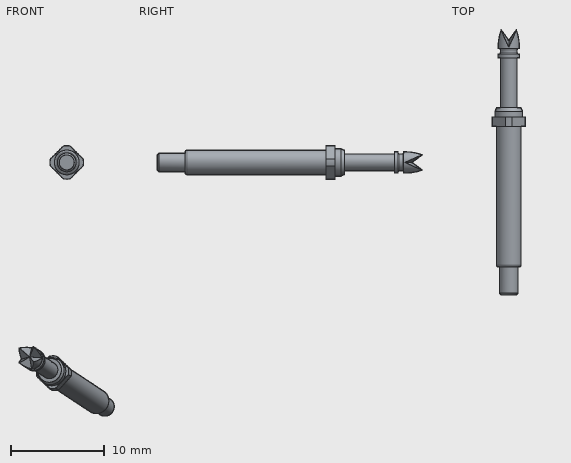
import cadquery as cq
import math


pin_radius = 1.0
pin_length = 3.0
pin_chamfer = 0.2

tube_radius = 1.32
tube_length = 15.0
tube_fillet = 0.2

flange_corner_radius = 1.795
flange_across_flats = 3.0
flange_thickness = 1.0

collar_radius = 1.475
collar_length = 1.0
collar_nose_length = 0.4
collar_nose_radius = 1.3

plunger_radius = 0.9
ring_radius = 1.15
ring_thickness = 0.4
neck_length = 0.6
neck_fillet = 0.15
head_radius = ring_radius
total_length = 28.3
head_length = 2.0

crown_centre_depth = 1.1
crown_edge_depth = 1.85
tooth_count = 4

tube_start = pin_length
flange_start = tube_start + tube_length
collar_start = flange_start + flange_thickness
collar_end = collar_start + collar_length
head_start = total_length - head_length
ring_end = head_start - neck_length
ring_start = ring_end - ring_thickness


def rod(start, end, radius):
    """Round bar along Y between two stations."""
    return cq.Workplane("XZ", origin=(0, start, 0)).circle(radius).extrude(start - end)


def make_pin():
    return rod(0, tube_start, pin_radius).faces("<Y").chamfer(pin_chamfer)


def make_tube():
    return rod(tube_start, flange_start, tube_radius).faces("<Y").edges().fillet(tube_fillet)


def make_flange():
    """Square standing on its corner, with the corners rounded about the axis."""
    square = (
        cq.Workplane("XZ", origin=(0, flange_start, 0))
        .transformed(rotate=(0, 0, 45))
        .rect(flange_across_flats, flange_across_flats)
        .extrude(-flange_thickness)
    )
    return square.intersect(rod(flange_start, collar_start, flange_corner_radius))


def make_collar():
    nose_inset = collar_radius - collar_nose_radius
    return (
        rod(collar_start, collar_end, collar_radius)
        .faces(">Y")
        .chamfer(collar_nose_length, nose_inset)
    )


def crown_groove():
    """V-shaped prism whose root passes through the axis and slopes down towards +X."""
    root_drop = (crown_edge_depth - crown_centre_depth) / head_radius
    root_angle = math.atan(root_drop)
    tip_offset = head_radius * math.sin(math.pi / tooth_count)
    tip_rise = crown_centre_depth + root_drop * tip_offset
    wall_slope = tip_rise / tip_offset * math.cos(root_angle)

    groove_height = 2 * head_length
    half_width = groove_height / wall_slope
    half_length = 2 * head_radius
    return (
        cq.Workplane("YZ")
        .polyline([(0, 0), (groove_height, half_width), (groove_height, -half_width)])
        .close()
        .extrude(half_length, both=True)
        .rotate((0, 0, 0), (0, 0, 1), -math.degrees(root_angle))
        .translate((0, total_length - crown_centre_depth, 0))
    )


def make_head():
    head = rod(head_start, total_length, head_radius)
    groove = crown_groove()
    for index in range(tooth_count):
        angle = index * 360 / tooth_count
        head = head.cut(groove.rotate((0, 0, 0), (0, 1, 0), angle))
    return head


def make_neck():
    """Neck between ring and head, blended into both by a concave fillet."""
    fillet_radius = plunger_radius + neck_fillet
    arc_offset = neck_fillet * (1 - math.sqrt(0.5))
    return (
        cq.Workplane("XY")
        .moveTo(0, ring_end)
        .lineTo(fillet_radius, ring_end)
        .threePointArc(
            (plunger_radius + arc_offset, ring_end + arc_offset),
            (plunger_radius, ring_end + neck_fillet),
        )
        .lineTo(plunger_radius, head_start - neck_fillet)
        .threePointArc(
            (plunger_radius + arc_offset, head_start - arc_offset),
            (fillet_radius, head_start),
        )
        .lineTo(0, head_start)
        .close()
        .revolve(360, (0, 0, 0), (0, 1, 0))
    )


def make_plunger():
    shaft = rod(collar_end, ring_start, plunger_radius)
    ring = rod(ring_start, ring_end, ring_radius)
    return shaft.union(ring).union(make_neck()).union(make_head())


result = (
    make_pin()
    .union(make_tube())
    .union(make_flange())
    .union(make_collar())
    .union(make_plunger())
)